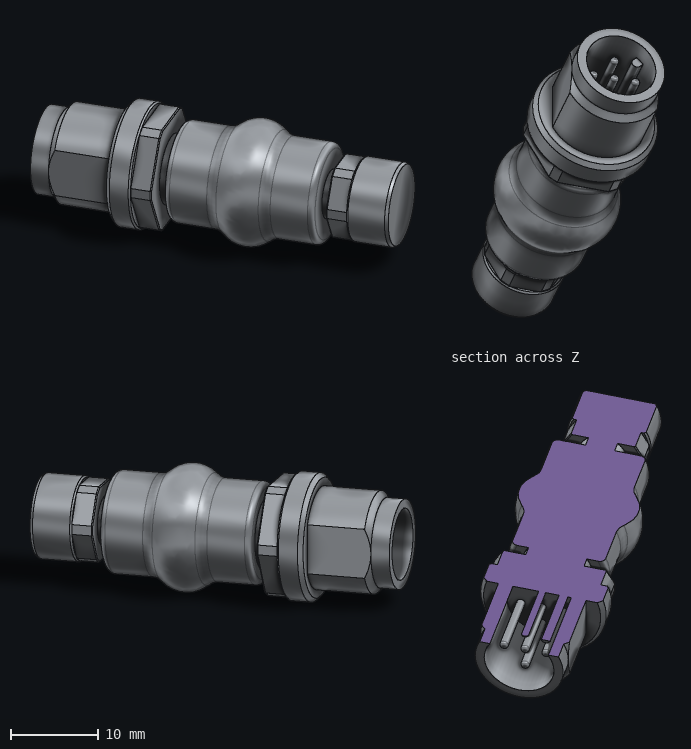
import cadquery as cq
import math


nose_end = 2.2
flange_start = 9.8
flange_end = 12.85
lock_nut_end = 15.3
sleeve_start = 16.4
sleeve_end = 34.5
cap_nut_start = 35.7
cap_start = 38.15
total_length = 43.2

nose_dia = 10.5
body_dia = 12.0
body_flat_width = nose_dia
flange_dia = 15.0
flange_front_chamfer = 0.5
flange_rear_chamfer = 0.2

socket_dia = 8.3
socket_depth = flange_start
pin_dia = 1.0
pin_circle_radius = 2.5
pin_recess = 2.25
outer_pin_count = 4
pin_tip_round = 0.4
key_width = 1.12
key_round_center = 3.55
key_recess = pin_recess
key_angle = 45.0

lock_nut_across_flats = 13.0
cap_nut_across_flats = 9.0
nut_corner_width = 1.15
nut_edge_chamfer = 0.15

front_neck_dia = 8.4
rear_neck_dia = 5.8
sleeve_dia = 12.05
sleeve_edge_round = 0.7
bulge_dia = flange_dia
bulge_half_length = 3.85
bulge_blend_share = 1 / 3
cap_dia = 10.0
cap_front_chamfer = 0.2
cap_rear_chamfer_length = 0.4
cap_rear_chamfer_depth = 0.2


def cylinder(start, end, diameter):
    """Solid cylinder on the X axis."""
    return cq.Workplane("YZ", origin=(start, 0, 0)).circle(diameter / 2).extrude(end - start)


def plug_body():
    """Nose and thicker body with a 45 degree shoulder and two side flats."""
    shoulder = (body_dia - nose_dia) / 2
    body = cylinder(nose_end, flange_start, body_dia).faces("<X").chamfer(shoulder)
    flats = cq.Workplane("XY").box(total_length, body_flat_width, body_dia)
    return cylinder(0, nose_end, nose_dia).union(body.intersect(flats))


def flange():
    disc = cylinder(flange_start, flange_end, flange_dia)
    disc = disc.faces("<X").chamfer(flange_front_chamfer)
    return disc.faces(">X").chamfer(flange_rear_chamfer)


def hex_nut(start, end, across_flats, chamfered_end):
    """Hexagon with flats facing +-Z, blunted corners and one chamfered end."""
    half_corner = math.radians(180 / 6)
    across_corners = across_flats / math.cos(half_corner)
    across_blunted = across_corners - nut_corner_width * math.tan(half_corner)
    length = end - start
    base = cq.Workplane("YZ", origin=(start, 0, 0))
    nut = base.polygon(6, across_corners).extrude(length)
    trim = base.polygon(6, across_blunted / math.cos(half_corner)).extrude(length)
    trim = trim.rotate((0, 0, 0), (1, 0, 0), math.degrees(half_corner))
    return nut.intersect(trim).faces(chamfered_end).chamfer(nut_edge_chamfer)


def sleeve():
    """Round-edged sleeve whose central bulge is a crown arc between two tangent blend arcs."""
    edge_radius = sleeve_dia / 2
    center = (sleeve_start + sleeve_end) / 2
    bulge_start = center - bulge_half_length
    bulge_end = center + bulge_half_length
    rise = (bulge_dia - sleeve_dia) / 2
    blend_length = bulge_half_length * bulge_blend_share
    blend_rise = rise * bulge_blend_share
    profile = (
        cq.Workplane("XY")
        .moveTo(sleeve_start, 0)
        .lineTo(sleeve_start, edge_radius)
        .lineTo(bulge_start, edge_radius)
        .tangentArcPoint((blend_length, blend_rise))
        .threePointArc((center, bulge_dia / 2), (bulge_end - blend_length, edge_radius + blend_rise))
        .tangentArcPoint((blend_length, -blend_rise))
        .lineTo(sleeve_end, edge_radius)
        .lineTo(sleeve_end, 0)
        .close()
    )
    body = profile.revolve(360, (0, 0, 0), (1, 0, 0))
    return body.faces("<X or >X").edges().fillet(sleeve_edge_round)


def end_cap():
    cap = cylinder(cap_start, total_length, cap_dia)
    cap = cap.faces("<X").chamfer(cap_front_chamfer)
    return cap.faces(">X").chamfer(cap_rear_chamfer_length, cap_rear_chamfer_depth)


def pins():
    """One central contact pin and four around it, with rounded tips."""
    pin = cylinder(pin_recess, socket_depth, pin_dia).faces("<X").edges().fillet(pin_tip_round)
    group = pin
    for index in range(outer_pin_count):
        angle = index * 360 / outer_pin_count
        outer_pin = pin.translate((0, pin_circle_radius, 0)).rotate((0, 0, 0), (1, 0, 0), angle)
        group = group.union(outer_pin)
    return group


def socket_key():
    """Round-nosed rib along the socket wall, on the -Y +Z side."""
    base = cq.Workplane("YZ", origin=(key_recess, 0, 0))
    length = socket_depth - key_recess
    reach = nose_dia / 2 - key_round_center
    rib = base.center(-key_round_center - reach / 2, 0).rect(reach, key_width).extrude(length)
    nose = base.center(-key_round_center, 0).circle(key_width / 2).extrude(length)
    inside_wall = cylinder(0, socket_depth, (socket_dia + nose_dia) / 2)
    return rib.union(nose).intersect(inside_wall).rotate((0, 0, 0), (1, 0, 0), -key_angle)


result = (
    plug_body()
    .union(flange())
    .cut(cylinder(0, socket_depth, socket_dia))
    .union(socket_key())
    .union(pins())
    .union(hex_nut(flange_end, lock_nut_end, lock_nut_across_flats, ">X"))
    .union(cylinder(lock_nut_end, sleeve_start, front_neck_dia))
    .union(sleeve())
    .union(cylinder(sleeve_end, cap_nut_start, rear_neck_dia))
    .union(hex_nut(cap_nut_start, cap_start, cap_nut_across_flats, "<X"))
    .union(end_cap())
)